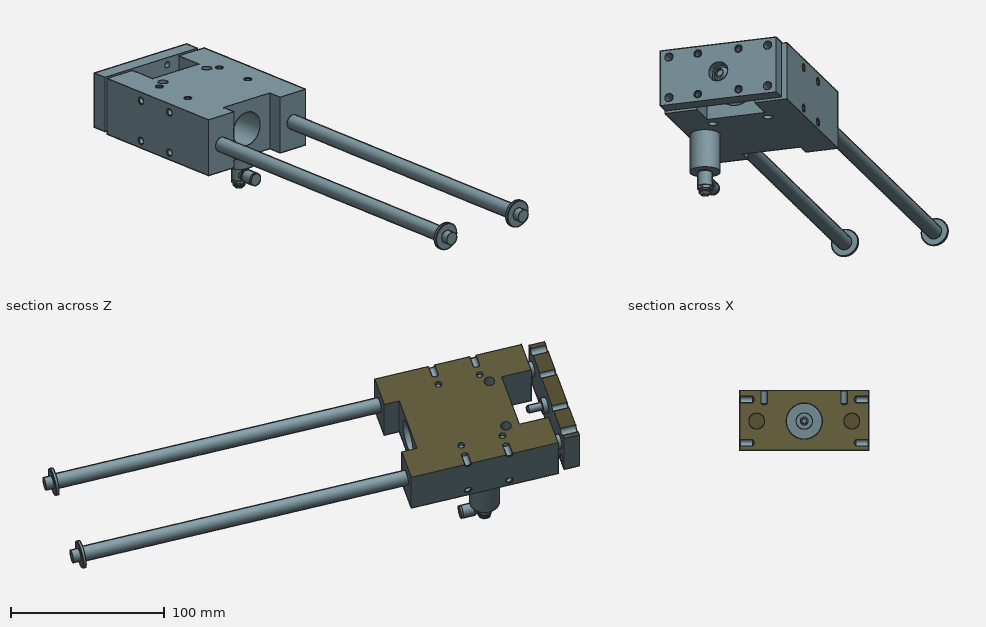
import cadquery as cq
import math

TOTAL_LENGTH = 342.0
TOTAL_HEIGHT = 80.7

PLATE_THICKNESS = 10.5
PLATE_WIDTH = 80.0
PLATE_HEIGHT = 38.0

HOUSING_START = 15.0
HOUSING_LENGTH = 100.0
HOUSING_WIDTH = 84.0
HOUSING_HEIGHT = 39.0
POCKET_WIDTH = 40.0
FRONT_POCKET_DEPTH = 20.0
REAR_POCKET_DEPTH = 10.3
PISTON_BORE_DIAMETER = 23.3

ROD_DIAMETER = 10.0
ROD_SPACING = 62.0
AXIS_HEIGHT = PLATE_HEIGHT / 2
ROD_END_DIAMETER = 8.5
ROD_END_LENGTH = 5.0
WASHER_DIAMETER = 18.0
WASHER_THICKNESS = 2.0
WASHER_CHAMFER = 0.5

SCREW_DIAMETER = 5.0
SCREW_END = 24.0
SCREW_CHAMFER = 1.0
COLLAR_DIAMETER = 10.5
COLLAR_THICKNESS = 3.5
RECESS_DIAMETER = 13.0
RECESS_DEPTH = 7.0
HEAD_DIAMETER = 10.5
HEAD_HEIGHT = 4.8
SOCKET_DIAMETER = 5.0
SOCKET_DEPTH = 2.7

TAPPED_DIAMETER = 4.0
TAPPED_DEPTH = 8.5
TAPPED_MOUTH_DIAMETER = 5.0
DRILL_POINT_DEPTH = 1.0
PLAIN_DIAMETER = 6.5
PLATE_HOLE_DIAMETER = 5.5
HOLE_PITCH_Z = 28.0
PLATE_OUTER_PITCH = 68.0
PLATE_INNER_PITCH = 28.0
HOUSING_HOLE_XS = (48.2, 76.3)
TOP_TAPPED_PITCH = 52.0
PLAIN_PITCH = 38.0
PLAIN_X = 43.8

CYLINDER_X = 62.0
CYLINDER_Y = ROD_SPACING / 2
CYLINDER_DIAMETER = 20.0
CYLINDER_LENGTH = 25.5
FITTING_DIAMETER = 9.5
FITTING_LENGTH = 10.3
FITTING_CHAMFER = 0.7
HEX_ACROSS_FLATS = 8.5
HEX_LENGTH = 2.0
NECK_DIAMETER = 6.5
NECK_LENGTH = 1.5
TIP_DIAMETER = 8.0
FITTING_BOTTOM = HOUSING_HEIGHT - TOTAL_HEIGHT
TIP_CHAMFER = 1.7
ELBOW_Z = -31.8
ELBOW_BOSS_DIAMETER = 7.0
ELBOW_BOSS_LENGTH = 5.5
ELBOW_NECK_DIAMETER = 6.5
ELBOW_NECK_LENGTH = 2.0
ELBOW_COLLAR_DIAMETER = 8.5
ELBOW_REACH = 16.8
ELBOW_LIP_DIAMETER = 8.2
ELBOW_LIP_LENGTH = 1.5

X_AXIS = cq.Vector(1, 0, 0)
HOUSING_END = HOUSING_START + HOUSING_LENGTH
ROD_YS = (-ROD_SPACING / 2, ROD_SPACING / 2)


def x_cylinder(diameter, start, end, y=0.0, z=AXIS_HEIGHT):
    """Cylinder along X between two X positions."""
    return cq.Workplane("YZ", origin=(start, y, z)).circle(diameter / 2).extrude(end - start)


def z_cylinder(diameter, top, length):
    """Cylinder centred on the drive axis, running down from a given height."""
    base = cq.Workplane("XY", origin=(CYLINDER_X, CYLINDER_Y, top))
    return base.circle(diameter / 2).extrude(-length)


def mouth_chamfer(point, direction):
    """Cutter for the 45 degree chamfer around the mouth of a tapped hole."""
    depth = (TAPPED_MOUTH_DIAMETER - TAPPED_DIAMETER) / 2
    return cq.Solid.makeCone(TAPPED_MOUTH_DIAMETER / 2, TAPPED_DIAMETER / 2, depth, point, direction)


def tapped_hole(point, direction):
    """Cutter for a blind drilled hole with a chamfered mouth and a conical bottom."""
    radius = TAPPED_DIAMETER / 2
    drill = cq.Solid.makeCylinder(radius, TAPPED_DEPTH, point, direction)
    mouth = mouth_chamfer(point, direction)
    bottom = point + direction * TAPPED_DEPTH
    drill_point = cq.Solid.makeCone(radius, 0, DRILL_POINT_DEPTH, bottom, direction)
    return cq.Workplane(drill.fuse(mouth, drill_point))


def make_housing():
    """Pocketed block with its bores and holes, joined to the drive below it."""
    housing = cq.Workplane("XY").box(
        HOUSING_LENGTH, HOUSING_WIDTH, HOUSING_HEIGHT, centered=(False, True, False)
    ).translate((HOUSING_START, 0, 0))
    for start, depth in (
        (HOUSING_START, FRONT_POCKET_DEPTH),
        (HOUSING_END - REAR_POCKET_DEPTH, REAR_POCKET_DEPTH),
    ):
        pocket = cq.Workplane("XY").box(depth, POCKET_WIDTH, HOUSING_HEIGHT, centered=(False, True, False))
        housing = housing.cut(pocket.translate((start, 0, 0)))
    housing = housing.cut(x_cylinder(PISTON_BORE_DIAMETER, HOUSING_START, HOUSING_END))
    for y in ROD_YS:
        housing = housing.cut(x_cylinder(ROD_DIAMETER, HOUSING_START, HOUSING_END, y))

    for side in (-1, 1):
        plain = cq.Workplane("XY", origin=(PLAIN_X, side * PLAIN_PITCH / 2, 0))
        housing = housing.cut(plain.circle(PLAIN_DIAMETER / 2).extrude(HOUSING_HEIGHT))
        for x in HOUSING_HOLE_XS:
            top_point = cq.Vector(x, side * TOP_TAPPED_PITCH / 2, HOUSING_HEIGHT)
            housing = housing.cut(tapped_hole(top_point, cq.Vector(0, 0, -1)))
            for level in (-1, 1):
                side_point = cq.Vector(x, side * HOUSING_WIDTH / 2, AXIS_HEIGHT + level * HOLE_PITCH_Z / 2)
                housing = housing.cut(tapped_hole(side_point, cq.Vector(0, -side, 0)))
    return housing.union(make_drive())


def make_drive():
    """Cylinder, stepped hose fitting and sideways elbow."""
    drive = z_cylinder(CYLINDER_DIAMETER, 0, CYLINDER_LENGTH)
    sleeve = z_cylinder(FITTING_DIAMETER, -CYLINDER_LENGTH, FITTING_LENGTH)
    drive = drive.union(sleeve.faces(">Z").chamfer(FITTING_CHAMFER))

    hex_top = -CYLINDER_LENGTH - FITTING_LENGTH
    hex_ring = cq.Workplane("XY", origin=(CYLINDER_X, CYLINDER_Y, hex_top))
    hex_ring = hex_ring.polygon(6, HEX_ACROSS_FLATS / math.cos(math.pi / 6)).extrude(-HEX_LENGTH)
    neck_top = hex_top - HEX_LENGTH
    tip_top = neck_top - NECK_LENGTH
    drive = drive.union(hex_ring).union(z_cylinder(NECK_DIAMETER, neck_top, NECK_LENGTH))
    tip = z_cylinder(TIP_DIAMETER, tip_top, tip_top - FITTING_BOTTOM)
    drive = drive.union(tip.faces("<Z").chamfer(TIP_CHAMFER))

    boss_end = CYLINDER_X + ELBOW_BOSS_LENGTH
    neck_end = boss_end + ELBOW_NECK_LENGTH
    boss = x_cylinder(ELBOW_BOSS_DIAMETER, CYLINDER_X, boss_end, CYLINDER_Y, ELBOW_Z)
    neck = x_cylinder(ELBOW_NECK_DIAMETER, boss_end, neck_end, CYLINDER_Y, ELBOW_Z)
    elbow_end = CYLINDER_X + ELBOW_REACH
    lip_start = elbow_end - ELBOW_LIP_LENGTH
    collar = x_cylinder(ELBOW_COLLAR_DIAMETER, neck_end, lip_start, CYLINDER_Y, ELBOW_Z)
    lip = x_cylinder(ELBOW_LIP_DIAMETER, lip_start, elbow_end, CYLINDER_Y, ELBOW_Z)
    return drive.union(boss).union(neck).union(collar).union(lip)


def make_screw_head():
    """Tapered socket head standing in the recess of the front plate."""
    top = RECESS_DEPTH - HEAD_HEIGHT
    top_point = cq.Vector(top, 0, AXIS_HEIGHT)
    cone = cq.Solid.makeCone(SOCKET_DIAMETER / 2, HEAD_DIAMETER / 2, HEAD_HEIGHT, top_point, X_AXIS)
    return cq.Workplane(cone).cut(x_cylinder(SOCKET_DIAMETER, top, top + SOCKET_DEPTH))


def make_slide():
    """Front plate with its screw and both guide rods."""
    slide = cq.Workplane("XY").box(
        PLATE_THICKNESS, PLATE_WIDTH, PLATE_HEIGHT, centered=(False, True, False)
    )
    for side in (-1, 1):
        for level in (-1, 1):
            z = AXIS_HEIGHT + level * HOLE_PITCH_Z / 2
            outer_y = side * PLATE_OUTER_PITCH / 2
            inner_y = side * PLATE_INNER_PITCH / 2
            inner_point = cq.Vector(0, inner_y, z)
            slide = slide.cut(x_cylinder(PLATE_HOLE_DIAMETER, 0, PLATE_THICKNESS, outer_y, z))
            slide = slide.cut(x_cylinder(TAPPED_DIAMETER, 0, PLATE_THICKNESS, inner_y, z))
            slide = slide.cut(cq.Workplane(mouth_chamfer(inner_point, X_AXIS)))

    slide = slide.cut(x_cylinder(RECESS_DIAMETER, 0, RECESS_DEPTH))
    slide = slide.union(make_screw_head())
    slide = slide.union(x_cylinder(COLLAR_DIAMETER, PLATE_THICKNESS, PLATE_THICKNESS + COLLAR_THICKNESS))
    screw = x_cylinder(SCREW_DIAMETER, PLATE_THICKNESS, SCREW_END)
    slide = slide.union(screw.faces(">X").chamfer(SCREW_CHAMFER))

    washer_end = TOTAL_LENGTH - ROD_END_LENGTH
    for y in ROD_YS:
        slide = slide.union(x_cylinder(ROD_DIAMETER, PLATE_THICKNESS, washer_end, y))
        washer = x_cylinder(WASHER_DIAMETER, washer_end - WASHER_THICKNESS, washer_end, y)
        slide = slide.union(washer.faces(">X").chamfer(WASHER_CHAMFER))
        slide = slide.union(x_cylinder(ROD_END_DIAMETER, washer_end, TOTAL_LENGTH, y))
    return slide


housing = make_housing()
slide = make_slide()
result = cq.Compound.makeCompound([housing.val(), slide.val()])